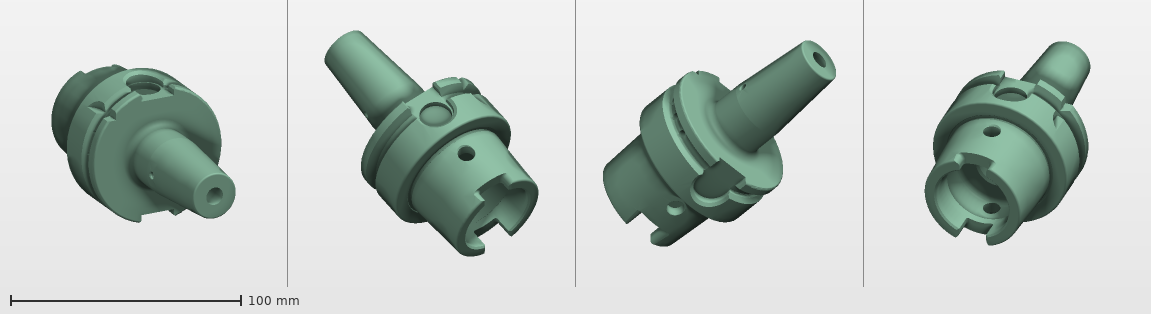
import cadquery as cq
import math


total_length = 112.0
taper_big_radius = 24.0
taper_end = 29.8
taper_slope = 0.05
taper_front_radius = taper_big_radius - taper_slope * taper_end
shank_lip_fillet = 1.0

relief_start = 30.5
relief_radius = 23.4
relief_lead = 0.3
face_relief_radius = 25.1
face_relief_depth = 0.3

flange_start = 31.9
flange_end = 58.0
flange_radius = 31.5
flange_fillet = 1.0
groove_start = 46.7
groove_wall = 48.2
groove_wall_radius = 29.1
groove_floor_end = 51.5
groove_end = 53.5
groove_radius = 27.5
groove_fillet = 0.6

neck_radius = 13.5
neck_fillet = 3.0
nose_taper_start = 74.0
nose_tip_radius = 10.5
nose_tip_fillet = 0.8

bore_radius = 17.0
bore_mouth_chamfer = 0.8
clamp_shoulder = 13.3
clamp_radius = 18.5
clamp_angle = 60.0
cavity_depth = 28.0
cavity_floor_radius = 15.7
thread_radius = 8.4
thread_chamfer = 1.0
thread_depth = 12.0
coolant_radius = 2.1
coolant_chamfer = 0.5
tool_bore_radius = 4.0
tool_bore_depth = 36.0

slot_half_width = 6.3
slot_round = 2.7
slot_shelf_height = 20.7
slot_floor_fillet = 1.2
slot_mouth_chamfer = 1.1
slot_mouth_length = 0.8
top_slot_depth = 5.8
bottom_slot_depth = 9.9

clamp_hole_x = 22.8
clamp_hole_radius = 3.8
clamp_hole_chamfer = 0.5
nose_hole_x = 78.0
nose_hole_radius = 1.6
nose_hole_chamfer = 0.3

keyway_center_x = 45.0
keyway_radius = 8.0
keyway_floor = 26.5
keyway_rim_chamfer = 1.3
keyway_land_bevel = 1.2
key_pocket_radius = 7.2
key_pocket_depth = 3.0
notch_wall_y = -20.4
notch_floor_z = 20.0

balance_hole_x = 49.7
balance_hole_radius = 1.7
balance_hole_depth = 5.6
balance_first_angle = 25.0
balance_step_angle = -20.0
balance_count = 4

clearance = 5.6
match_tolerance = 0.01


def turned(profile):
    """Revolve a closed half-section (X along the axis, Y as radius)."""
    return profile.close().revolve(360, (0, 0, 0), (1, 0, 0))


def fillet_circle(body, x, radius, fillet):
    """Round the turned edge of the given radius that lies in the plane at x."""
    edge = body.edges("%CIRCLE").filter(
        lambda e: abs(e.Center().x - x) < match_tolerance and abs(e.radius() - radius) < match_tolerance
    )
    return edge.fillet(fillet)


def make_blank():
    neck_start = flange_end + neck_fillet
    arc_mid = neck_fillet * (1 - math.sqrt(0.5))
    blank = turned(
        cq.Workplane("XY")
        .moveTo(0, 0)
        .lineTo(0, taper_front_radius)
        .lineTo(taper_end, taper_big_radius)
        .lineTo(relief_start, taper_big_radius)
        .lineTo(relief_start + relief_lead, relief_radius)
        .lineTo(flange_start + face_relief_depth, relief_radius)
        .lineTo(flange_start + face_relief_depth, face_relief_radius - face_relief_depth)
        .lineTo(flange_start, face_relief_radius)
        .lineTo(flange_start, flange_radius)
        .lineTo(groove_start, flange_radius)
        .lineTo(groove_wall, groove_wall_radius)
        .lineTo(groove_wall, groove_radius)
        .lineTo(groove_floor_end, groove_radius)
        .lineTo(groove_end, flange_radius)
        .lineTo(flange_end, flange_radius)
        .lineTo(flange_end, neck_radius + neck_fillet)
        .threePointArc((flange_end + arc_mid, neck_radius + arc_mid), (neck_start, neck_radius))
        .lineTo(nose_taper_start, neck_radius)
        .lineTo(total_length, nose_tip_radius)
        .lineTo(total_length, 0)
    )
    rounded_edges = (
        (0, taper_front_radius, shank_lip_fillet),
        (flange_start, flange_radius, flange_fillet),
        (flange_end, flange_radius, flange_fillet),
        (groove_wall, groove_radius, groove_fillet),
        (total_length, nose_tip_radius, nose_tip_fillet),
    )
    for x, radius, fillet in rounded_edges:
        blank = fillet_circle(blank, x, radius, fillet)
    return blank


def make_cavity():
    """Clamping bore, thread bore, coolant hole and tool bore in one turned cutter."""
    shoulder_rise = clamp_radius - bore_radius
    shoulder_end = clamp_shoulder + shoulder_rise / math.tan(math.radians(clamp_angle))
    floor_round = clamp_radius - cavity_floor_radius
    arc_mid = floor_round * (1 - math.sqrt(0.5))
    thread_end = cavity_depth + thread_depth
    tool_bore_start = total_length - tool_bore_depth
    return turned(
        cq.Workplane("XY")
        .moveTo(0, 0)
        .lineTo(0, bore_radius + bore_mouth_chamfer)
        .lineTo(bore_mouth_chamfer, bore_radius)
        .lineTo(clamp_shoulder, bore_radius)
        .lineTo(shoulder_end, clamp_radius)
        .lineTo(cavity_depth - floor_round, clamp_radius)
        .threePointArc((cavity_depth - arc_mid, clamp_radius - arc_mid), (cavity_depth, cavity_floor_radius))
        .lineTo(cavity_depth, thread_radius + thread_chamfer)
        .lineTo(cavity_depth + thread_chamfer, thread_radius)
        .lineTo(thread_end, thread_radius)
        .lineTo(thread_end, coolant_radius + coolant_chamfer)
        .lineTo(thread_end + coolant_chamfer, coolant_radius)
        .lineTo(tool_bore_start, coolant_radius)
        .lineTo(tool_bore_start, tool_bore_radius)
        .lineTo(total_length, tool_bore_radius)
        .lineTo(total_length, 0)
    )


def make_drive_slot(depth):
    """Slot on the +Z side: straight walls that round outward onto a flat shelf."""
    top = taper_big_radius + clearance
    shelf_end = taper_big_radius
    round_start = slot_shelf_height - slot_round
    shelf_start = slot_half_width + slot_round
    arc_mid = slot_round * (1 - math.sqrt(0.5))
    slot = (
        cq.Workplane("YZ")
        .moveTo(-slot_half_width, 0)
        .lineTo(-slot_half_width, round_start)
        .threePointArc(
            (-slot_half_width - arc_mid, slot_shelf_height - arc_mid), (-shelf_start, slot_shelf_height)
        )
        .lineTo(-shelf_end, slot_shelf_height)
        .lineTo(-shelf_end, top)
        .lineTo(shelf_end, top)
        .lineTo(shelf_end, slot_shelf_height)
        .lineTo(shelf_start, slot_shelf_height)
        .threePointArc(
            (slot_half_width + arc_mid, slot_shelf_height - arc_mid), (slot_half_width, round_start)
        )
        .lineTo(slot_half_width, 0)
        .close()
        .extrude(depth)
    )
    for side in (-1, 1):
        wall_edge = cq.selectors.NearestToPointSelector((depth, side * slot_half_width, round_start / 2))
        slot = slot.edges(wall_edge).fillet(slot_floor_fillet)
    mouth_half_width = slot_half_width + slot_mouth_chamfer
    mouth = (
        cq.Workplane("XY")
        .polyline(
            [
                (0, -mouth_half_width),
                (slot_mouth_length, -slot_half_width),
                (slot_mouth_length, slot_half_width),
                (0, mouth_half_width),
            ]
        )
        .close()
        .extrude(slot_shelf_height)
    )
    return slot.union(mouth)


def make_cross_hole(plane, x, radius, chamfer, surface_radius):
    """Through hole across the axis, countersunk where it leaves the surface."""
    hole = cq.Workplane(plane).center(x, 0).circle(radius).extrude(2 * flange_radius, both=True)
    for side in (-1, 1):
        sink = (
            cq.Workplane(plane)
            .workplane(offset=side * (surface_radius - chamfer))
            .center(x, 0)
            .circle(radius)
            .workplane(offset=side * 2 * chamfer)
            .circle(radius + 2 * chamfer)
            .loft()
        )
        hole = hole.union(sink)
    return hole


def cut_keyway(body, side):
    """Round-ended keyway on the +Z (side = 1) or -Z (side = -1) flank of the flange."""
    length = flange_end + clearance - keyway_center_x
    plane = cq.Workplane("XY").workplane(offset=side * keyway_floor)
    height = side * (flange_radius - keyway_floor + clearance)
    keyway = plane.center(keyway_center_x, 0).circle(keyway_radius).extrude(height)
    straight = (
        plane.center(keyway_center_x + length / 2, 0).rect(length, 2 * keyway_radius).extrude(height)
    )
    body = body.cut(keyway.union(straight))
    round_rim = cq.selectors.NearestToPointSelector((keyway_center_x - keyway_radius, 0, side * flange_radius))
    body = body.edges(round_rim).chamfer(keyway_rim_chamfer)
    bevel_bottom = math.sqrt(flange_radius**2 - keyway_radius**2) - keyway_land_bevel
    bevel = (
        cq.Workplane("YZ")
        .workplane(offset=groove_floor_end)
        .polyline(
            [
                (-keyway_radius, side * bevel_bottom),
                (keyway_radius, side * bevel_bottom),
                (keyway_radius + clearance, side * (bevel_bottom + clearance)),
                (-keyway_radius - clearance, side * (bevel_bottom + clearance)),
            ]
        )
        .close()
        .extrude(length)
    )
    return body.cut(bevel)


def make_key_pocket():
    return (
        cq.Workplane("XY")
        .workplane(offset=keyway_floor - key_pocket_depth)
        .center(keyway_center_x, 0)
        .circle(key_pocket_radius)
        .extrude(key_pocket_depth)
    )


def make_corner_notch():
    """Milled L-shaped notch at the -Y, +Z corner of the flange, open toward +X."""
    center_y = notch_wall_y - keyway_radius
    length = flange_end + clearance - keyway_center_x
    plane = cq.Workplane("XY").workplane(offset=notch_floor_z)
    round_end = plane.center(keyway_center_x, center_y).circle(keyway_radius).extrude(flange_radius)
    straight = (
        plane.center(keyway_center_x + length / 2, center_y)
        .rect(length, 2 * keyway_radius)
        .extrude(flange_radius)
    )
    return round_end.union(straight)


def make_balance_hole(index):
    """Radial hole in the groove floor on the -Y half of the flange."""
    angle = balance_first_angle + index * balance_step_angle
    return (
        cq.Workplane("XZ")
        .workplane(offset=groove_radius - balance_hole_depth)
        .center(balance_hole_x, 0)
        .circle(balance_hole_radius)
        .extrude(balance_hole_depth + clearance)
        .rotate((0, 0, 0), (1, 0, 0), -angle)
    )


result = make_blank()
for flank in (1, -1):
    result = cut_keyway(result, flank)
result = result.cut(make_key_pocket()).cut(make_corner_notch())
result = result.cut(make_cavity())
result = result.cut(make_drive_slot(top_slot_depth))
result = result.cut(make_drive_slot(bottom_slot_depth).rotate((0, 0, 0), (1, 0, 0), 180))

clamp_hole_surface = taper_front_radius + taper_slope * clamp_hole_x
result = result.cut(
    make_cross_hole("XY", clamp_hole_x, clamp_hole_radius, clamp_hole_chamfer, clamp_hole_surface)
)
nose_taper_slope = (neck_radius - nose_tip_radius) / (total_length - nose_taper_start)
nose_hole_surface = neck_radius - nose_taper_slope * (nose_hole_x - nose_taper_start)
result = result.cut(
    make_cross_hole("XZ", nose_hole_x, nose_hole_radius, nose_hole_chamfer, nose_hole_surface)
)
for hole_index in range(balance_count):
    result = result.cut(make_balance_hole(hole_index))